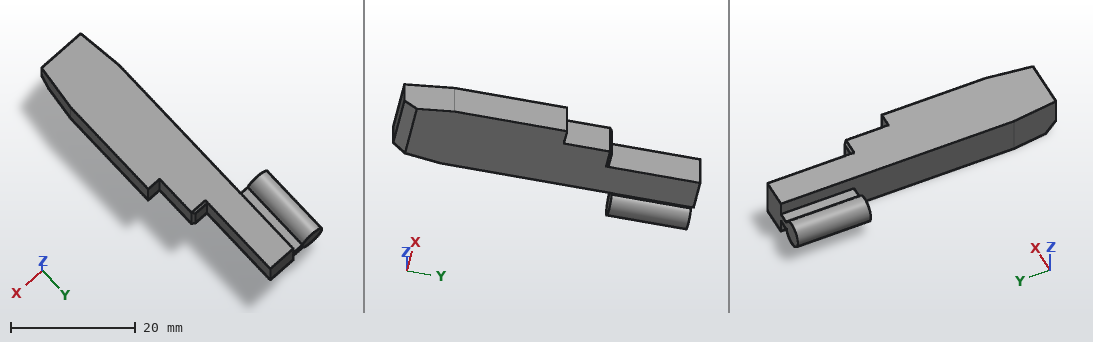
import cadquery as cq

length = 49.5
height = 6.5
full_width = 10.5
middle_width = 8.0
tail_width = 5.0
tail_length = 15.0
middle_end = 23.0
step_chamfer = 0.45

nose_length = 8.0
nose_inset = 1.0
nose_chamfer = 2.0

overall_width = 16.75
rail_length = 13.0
bead_diameter = 4.4
web_height = 1.6
bead_x = bead_diameter / 2 - (overall_width - full_width)


def make_body():
    """Stepped bar with its left side at X=0 and its front end at Y=0."""
    tail_y = length - tail_length
    middle_y = length - middle_end
    bar = (
        cq.Workplane("XY")
        .moveTo(nose_inset, 0)
        .lineTo(full_width - nose_inset, 0)
        .lineTo(full_width, nose_length)
        .lineTo(full_width, middle_y)
        .lineTo(middle_width, middle_y)
        .lineTo(middle_width, tail_y)
        .lineTo(tail_width, tail_y)
        .lineTo(tail_width, length)
        .lineTo(0, length)
        .lineTo(0, nose_length)
        .close()
        .extrude(height)
    )

    step_center = ((tail_width + middle_width) / 2, tail_y, height / 2)
    step_face = bar.faces(cq.selectors.NearestToPointSelector(step_center))
    bar = step_face.edges("|X or >X").chamfer(step_chamfer)

    wedge = (
        cq.Workplane("YZ")
        .polyline([(0, 0), (nose_chamfer, 0), (0, nose_chamfer)])
        .close()
        .extrude(full_width)
    )
    return bar.cut(wedge)


def make_rail():
    """Bead and web along the back end of the left side."""
    bead = (
        cq.Workplane("XZ", origin=(bead_x, length, height / 2))
        .circle(bead_diameter / 2)
        .extrude(rail_length)
    )
    web = cq.Workplane("XY").box(
        -bead_x, rail_length, web_height, centered=(False, False, True)
    ).translate((bead_x, length - rail_length, height / 2))
    return bead.union(web)


result = make_body().union(make_rail())